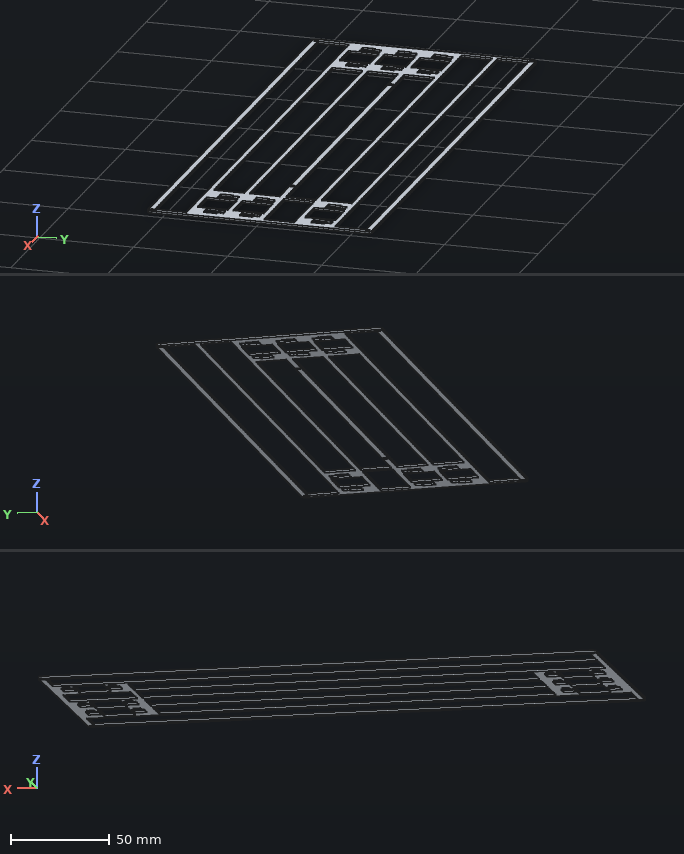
import cadquery as cq

LENGTH = 290.5
WIDTH = 119.06
THICKNESS = 1.2
CORNER_RADIUS = 2.5

KEY_PITCH = 19.05
ROW_COUNT = 6
COLUMN_COUNT = 15
TOP_ROW = 0
BOTTOM_ROW = ROW_COUNT - 1
ROW_ABOVE_CENTER = ROW_COUNT // 2 - 1
ROW_BELOW_CENTER = ROW_COUNT // 2
BAR_WIDTH = 3.05
CENTER_BAR_WIDTH = 3.5
FRAME_WIDTH = 3.5
SWITCH_WINDOW = KEY_PITCH - BAR_WIDTH

STABILIZER_OFFSET = 12.0
STABILIZER_BODY_WIDTH = 6.3
STABILIZER_BOTTOM = -2.6
STABILIZER_SHOULDER = 4.0
STABILIZER_TOP = 7.4
STABILIZER_NECK_WIDTH = 3.5
NECK_OUTWARD_SHIFT = 0.1

HOLE_DIAMETER = 2.2
CORNER_HOLE_INSET = 2.2
BAR_HOLE_COLUMNS = 4.5
BAR_HOLE_X = BAR_HOLE_COLUMNS * KEY_PITCH

LONG_WINDOWS = [
    (0, 0, 15),
    (1, 0, 13),
    (2, 2, 13),
    (2, 13, 15),
    (3, 2, 13),
    (4, 2, 13),
    (5, 0, 15),
]
WIDE_KEYS = [(1, 13), (2, 0), (3, 0), (3, 13), (4, 0), (4, 13)]
WIDE_KEY_UNITS = 2


def column_x(column):
    """X of the left boundary of a key column."""
    return (column - COLUMN_COUNT / 2) * KEY_PITCH


def row_y(row):
    """Y of the middle of a key row."""
    return ((ROW_COUNT - 1) / 2 - row) * KEY_PITCH


def box_cutter(x_min, x_max, y_min, y_max):
    """Rectangular block through the full plate thickness."""
    block = cq.Workplane("XY").box(x_max - x_min, y_max - y_min, THICKNESS, centered=False)
    return block.translate((x_min, y_min, 0))


def long_window(row, first_column, end_column):
    """Window over a run of key columns, reaching to the bars or the frame around it."""
    frame_x = LENGTH / 2 - FRAME_WIDTH
    frame_y = WIDTH / 2 - FRAME_WIDTH
    inset = BAR_WIDTH / 2
    x_min = column_x(first_column) + inset
    x_max = column_x(end_column) - inset
    y_min = row_y(row) - KEY_PITCH / 2 + inset
    y_max = row_y(row) + KEY_PITCH / 2 - inset
    if first_column == 0:
        x_min = -frame_x
    if end_column == COLUMN_COUNT and row in (TOP_ROW, BOTTOM_ROW):
        x_max = frame_x
    if row == TOP_ROW:
        y_max = frame_y
    if row == BOTTOM_ROW:
        y_min = -frame_y
    if row == ROW_ABOVE_CENTER:
        y_min = CENTER_BAR_WIDTH / 2
    if row == ROW_BELOW_CENTER:
        y_max = -CENTER_BAR_WIDTH / 2
    return box_cutter(x_min, x_max, y_min, y_max)


def stabilizer_opening(x, y, side):
    """Stepped opening: wide body below, narrower neck above (side is -1 or +1)."""
    center = x + side * STABILIZER_OFFSET
    neck = center + side * NECK_OUTWARD_SHIFT
    half_body = STABILIZER_BODY_WIDTH / 2
    half_neck = STABILIZER_NECK_WIDTH / 2
    shoulder = y + STABILIZER_SHOULDER
    body_cutter = box_cutter(center - half_body, center + half_body, y + STABILIZER_BOTTOM, shoulder)
    neck_cutter = box_cutter(neck - half_neck, neck + half_neck, shoulder, y + STABILIZER_TOP)
    return body_cutter.union(neck_cutter)


def wide_key_opening(row, first_column):
    """Switch window with a stabilizer opening on either side."""
    x = column_x(first_column + WIDE_KEY_UNITS / 2)
    y = row_y(row)
    half = SWITCH_WINDOW / 2
    opening = box_cutter(x - half, x + half, y - half, y + half)
    for side in (-1, 1):
        opening = opening.union(stabilizer_opening(x, y, side))
    return opening


def base_plate():
    """Solid plate with rounded corners."""
    plate = cq.Workplane("XY").box(LENGTH, WIDTH, THICKNESS, centered=(True, True, False))
    return plate.edges("|Z").fillet(CORNER_RADIUS)


def screw_holes():
    """Cylinders for four corner holes and two holes in the center bar."""
    hole_x = LENGTH / 2 - CORNER_HOLE_INSET
    hole_y = WIDTH / 2 - CORNER_HOLE_INSET
    places = [(-BAR_HOLE_X, 0), (BAR_HOLE_X, 0)]
    for x in (-hole_x, hole_x):
        for y in (-hole_y, hole_y):
            places.append((x, y))
    return cq.Workplane("XY").pushPoints(places).circle(HOLE_DIAMETER / 2).extrude(THICKNESS)


result = base_plate()
for window in LONG_WINDOWS:
    result = result.cut(long_window(*window))
for key in WIDE_KEYS:
    result = result.cut(wide_key_opening(*key))
result = result.cut(screw_holes())